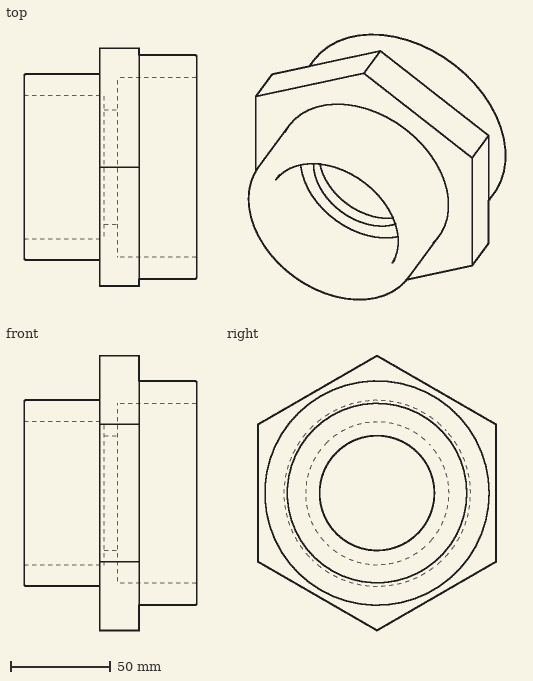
import cadquery as cq
import math

left_length = 38.0
hex_length = 20.0
right_length = 29.1
hex_corner_span = 138.5
left_diameter = 94.0
right_diameter = 113.0
left_bore = 72.2
right_bore = 90.5
through_bore = 57.8
left_bore_depth = 40.0
right_bore_depth = left_bore_depth
edge_radius = 1.0

hex_start = left_length
hex_end = hex_start + hex_length
total_length = hex_end + right_length


def cylinder(diameter, start, end):
    """Solid cylinder along X between two stations."""
    return cq.Workplane("YZ", origin=(start, 0, 0)).circle(diameter / 2).extrude(end - start)


def hex_collar():
    """Hexagonal wrench collar with two corners on the Z axis."""
    corners = []
    for index in range(6):
        angle = math.radians(90 + 60 * index)
        radius = hex_corner_span / 2
        corners.append((radius * math.cos(angle), radius * math.sin(angle)))
    return cq.Workplane("YZ", origin=(hex_start, 0, 0)).polyline(corners).close().extrude(hex_length)


left_spigot = cylinder(left_diameter, 0, hex_end).faces("<X").edges().fillet(edge_radius)
right_spigot = cylinder(right_diameter, hex_start, total_length).faces(">X").edges().fillet(edge_radius)
body = hex_collar().union(left_spigot).union(right_spigot)

body = body.cut(cylinder(through_bore, 0, total_length))
body = body.cut(cylinder(left_bore, 0, left_bore_depth))
body = body.cut(cylinder(right_bore, total_length - right_bore_depth, total_length))

mouth_edges = cq.selectors.RadiusNthSelector(0)
body = body.faces("<X").edges(mouth_edges).fillet(edge_radius)
result = body.faces(">X").edges(mouth_edges).fillet(edge_radius)